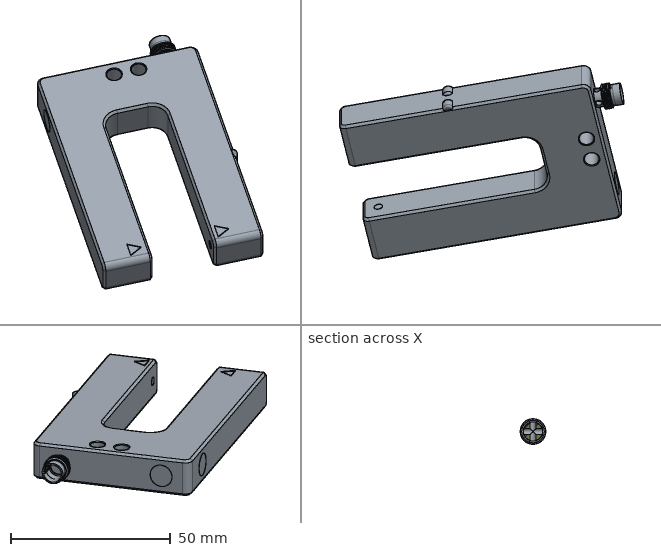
import cadquery as cq
import math

body_length = 80.0
body_width = 52.0
body_height = 12.0
back_corner_radius = 2.5
tip_radius = 2.0
edge_chamfer = 0.8

arm_width = 16.0
slot_bottom_x = 20.0
slot_corner_radius = 5.0
slot_width = body_width - 2 * arm_width

hole_diameter = 4.6
hole_chamfer = 0.3
hole_x = 5.0
hole_first_y = 6.0
hole_spacing = 8.0
hole_count = 2

tip_feature_x = body_length - 5.0
arrow_side = 4.6
arrow_height = arrow_side * math.sqrt(3) / 2
arrow_depth = 0.3
arrow_base_ys = (12.0, -16.4)
window_diameter = 2.65
window_depth = 0.1

cover_diameter = 7.2
cover_depth = 0.1
front_cover_x = 13.0
back_cover_y = -body_width / 2 + 9.55

pin_diameter = 3.6
pin_radius = pin_diameter / 2
pin_height = 1.0
pin_x = 45.3
pin_length = 11.5
pin_gap = 2.8
pin_end_fillet = 0.7
pin_gap_chamfer = 0.8

plug_y = 16.5
overall_length = 88.4
plug_length = overall_length - body_length
neck_diameter = 6.0
neck_length = 2.4
thread_diameter = 8.05
thread_root_diameter = 7.1
thread_pitch = 0.575
thread_turns = 5
thread_length = thread_pitch * thread_turns
collar_diameter = 6.4
collar_length = 0.9
tip_diameter = 6.8
mouth_diameter = 5.8
mouth_depth = 5.5
bore_diameter = 4.9
bore_depth = 5.8
key_width = 0.6
cross_hole_diameter = 1.9
cross_hole_x = -1.15


def fork_body():
    """U-shaped block with rounded back corners, rounded tips and chamfered rims."""
    body = cq.Workplane("XY").box(body_length, body_width, body_height, centered=(False, True, True))
    body = body.edges("|Y and >X").fillet(tip_radius)
    body = body.edges("|Z and <X").fillet(back_corner_radius)
    slot_length = body_length - slot_bottom_x
    slot = (
        cq.Workplane("XY")
        .box(2 * slot_length, slot_width, body_height, centered=(False, True, True))
        .edges("|Z and <X")
        .fillet(slot_corner_radius)
        .translate((slot_bottom_x, 0, 0))
    )
    body = body.cut(slot)
    return body.faces("<Z or >Z").edges("not >X").chamfer(edge_chamfer)


def mounting_hole(y):
    """Through hole with a small chamfer at both ends."""
    radius = hole_diameter / 2
    mouth = radius + hole_chamfer
    top = body_height / 2
    shoulder = top - hole_chamfer
    profile = [(0, -top), (mouth, -top), (radius, -shoulder), (radius, shoulder), (mouth, top), (0, top)]
    hole = cq.Workplane("XZ").polyline(profile).close().revolve(360, (0, 0, 0), (0, 1, 0))
    return hole.translate((hole_x, y, 0))


def arrow(base_y):
    """Shallow triangle in the top face, pointing to +Y."""
    half_side = arrow_side / 2
    corners = [
        (tip_feature_x - half_side, base_y),
        (tip_feature_x + half_side, base_y),
        (tip_feature_x, base_y + arrow_height),
    ]
    floor = body_height / 2 - arrow_depth
    return cq.Workplane("XY").workplane(offset=floor).polyline(corners).close().extrude(2 * arrow_depth)


def disc(center, normal, diameter, depth):
    """Cutter for a round recess of the given depth in the face at center."""
    face_plane = cq.Plane(origin=center, normal=normal)
    return cq.Workplane(face_plane).circle(diameter / 2).extrude(depth, both=True)


def side_pin():
    """Two partly sunk pin pieces, rounded outside and chamfered towards the gap."""
    piece_length = (pin_length - pin_gap) / 2
    piece = (
        cq.Workplane("XY")
        .workplane(offset=pin_gap / 2)
        .center(pin_x, body_width / 2 + pin_height - pin_radius)
        .circle(pin_radius)
        .extrude(piece_length)
        .faces(">Z")
        .edges()
        .fillet(pin_end_fillet)
        .faces("<Z")
        .edges()
        .chamfer(pin_gap_chamfer)
    )
    return piece.union(piece.mirror("XY"))


def plug():
    """Connector turned about X: neck, thread ridges, collar and tip with a stepped, keyed bore."""
    neck_radius = neck_diameter / 2
    thread_end = -neck_length - thread_length
    collar_end = thread_end - collar_length
    profile = [(0, 0), (0, neck_radius), (-neck_length, neck_radius)]
    for turn in range(thread_turns):
        start = -neck_length - turn * thread_pitch
        profile.append((start, thread_root_diameter / 2))
        profile.append((start - thread_pitch / 2, thread_diameter / 2))
    profile += [
        (thread_end, thread_root_diameter / 2),
        (thread_end, collar_diameter / 2),
        (collar_end, tip_diameter / 2),
        (-plug_length, tip_diameter / 2),
        (-plug_length, mouth_diameter / 2),
        (mouth_depth - plug_length, mouth_diameter / 2),
        (mouth_depth - plug_length, bore_diameter / 2),
        (bore_depth - plug_length, bore_diameter / 2),
        (bore_depth - plug_length, 0),
    ]
    turned = cq.Workplane("XY").polyline(profile).close().revolve(360, (0, 0, 0), (1, 0, 0))
    wall_middle_radius = (tip_diameter + mouth_diameter) / 4
    key_height = wall_middle_radius - bore_diameter / 2
    key = (
        cq.Workplane("XY")
        .box(mouth_depth, key_height, key_width, centered=(False, False, True))
        .translate((-plug_length, bore_diameter / 2, 0))
    )
    turned = turned.union(key)
    for plane in ("XY", "XZ"):
        cross_hole = (
            cq.Workplane(plane)
            .center(cross_hole_x, 0)
            .circle(cross_hole_diameter / 2)
            .extrude(neck_diameter, both=True)
        )
        turned = turned.cut(cross_hole)
    return turned.translate((0, plug_y, 0))


result = fork_body()

for index in range(hole_count):
    result = result.cut(mounting_hole(hole_first_y - index * hole_spacing))

for base_y in arrow_base_ys:
    result = result.cut(arrow(base_y))

for side in (-1, 1):
    window_center = (tip_feature_x, side * slot_width / 2, 0)
    result = result.cut(disc(window_center, (0, 1, 0), window_diameter, window_depth))

front_cover_center = (front_cover_x, -body_width / 2, 0)
back_cover_center = (0, back_cover_y, 0)
result = result.cut(disc(front_cover_center, (0, 1, 0), cover_diameter, cover_depth))
result = result.cut(disc(back_cover_center, (1, 0, 0), cover_diameter, cover_depth))

result = result.union(side_pin()).union(plug())